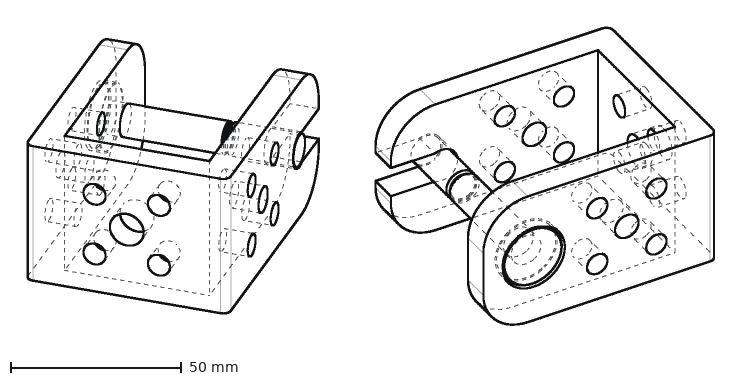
import cadquery as cq

width = 63.0
length = 79.0
height = 45.0
wall = 9.0
back_edge_radius = 2.4
arm_corner_radius = 15.0

screw_hole_diameter = 6.9
screw_hole_spacing = 20.0
back_centre_hole_diameter = 10.5
arm_centre_hole_diameter = 8.0
arm_pattern_y = 30.5

pin_y = 61.9
pin_diameter = 10.0
shaft_end_chamfer = 0.5
nub_diameter = 8.45
nub_length = 0.55
pin_meeting_x = 10.1
head_diameter = 20.0
head_thickness = 3.95
head_chamfer = 0.4
counterbore_diameter = 21.0
head_recess = 0.5
slot_width = pin_diameter
slot_end_diameter = 11.0

outer_x = width / 2
inner_x = outer_x - wall
plain_pin_chamfer = (pin_diameter - nub_diameter) / 2
shaft_end_x = pin_meeting_x - nub_length
counterbore_depth = head_thickness + head_recess
counterbore_floor_x = counterbore_depth - outer_x


def x_cylinder(diameter, start_x, end_x, centre_y):
    """Cylinder along X, centred at height zero."""
    return (
        cq.Workplane("YZ", origin=(start_x, centre_y, 0))
        .circle(diameter / 2)
        .extrude(end_x - start_x)
    )


def make_blank():
    """U-shaped body with rounded back edges and rounded arm ends."""
    block = cq.Workplane("XY").box(width, length, height, centered=(True, False, True))
    block = block.faces("<Y").edges("|Z").fillet(back_edge_radius)
    block = block.faces(">Y").edges("|X").fillet(arm_corner_radius)
    opening = (
        cq.Workplane("XY")
        .box(2 * inner_x, length, height, centered=(True, False, True))
        .translate((0, wall, 0))
    )
    return block.cut(opening)


def hole_pattern(plane, centre_diameter, depth):
    """Cutters for four screw holes in a square and one hole in its middle."""
    screw_holes = (
        plane.rect(screw_hole_spacing, screw_hole_spacing, forConstruction=True)
        .vertices()
        .circle(screw_hole_diameter / 2)
        .extrude(depth)
    )
    return screw_holes.union(plane.circle(centre_diameter / 2).extrude(depth))


def slot_cutter():
    """Keyhole slot through the +X arm, open at the arm's free end."""
    open_length = length - pin_y
    channel = (
        cq.Workplane("XY")
        .box(wall, open_length, slot_width, centered=(False, False, True))
        .translate((inner_x, pin_y, 0))
    )
    return channel.union(x_cylinder(slot_end_diameter, inner_x, outer_x, pin_y))


def make_housing():
    back_holes = hole_pattern(cq.Workplane("XZ"), back_centre_hole_diameter, -wall)
    arm_plane = cq.Workplane("YZ", origin=(-outer_x, arm_pattern_y, 0))
    arm_holes = hole_pattern(arm_plane, arm_centre_hole_diameter, width)
    return (
        make_blank()
        .cut(back_holes)
        .cut(arm_holes)
        .cut(x_cylinder(counterbore_diameter, -outer_x, counterbore_floor_x, pin_y))
        .cut(x_cylinder(pin_diameter, -outer_x, -inner_x, pin_y))
        .cut(slot_cutter())
    )


def make_headed_pin():
    """Pin in the -X arm, its head seated in the counterbore and a short nub on its tip."""
    head = x_cylinder(head_diameter, head_recess - outer_x, counterbore_floor_x, pin_y)
    head = head.faces("<X").chamfer(head_chamfer)
    shaft = x_cylinder(pin_diameter, counterbore_floor_x, shaft_end_x, pin_y)
    shaft = shaft.faces(">X").chamfer(shaft_end_chamfer)
    nub = x_cylinder(nub_diameter, shaft_end_x, pin_meeting_x, pin_y)
    return head.union(shaft).union(nub)


def make_plain_pin():
    """Pin in the slot of the +X arm, meeting the headed pin tip to tip."""
    pin = x_cylinder(pin_diameter, pin_meeting_x, outer_x, pin_y)
    return pin.faces("<X").chamfer(plain_pin_chamfer)


housing = make_housing()
headed_pin = make_headed_pin()
plain_pin = make_plain_pin()

result = cq.Compound.makeCompound([housing.val(), headed_pin.val(), plain_pin.val()])